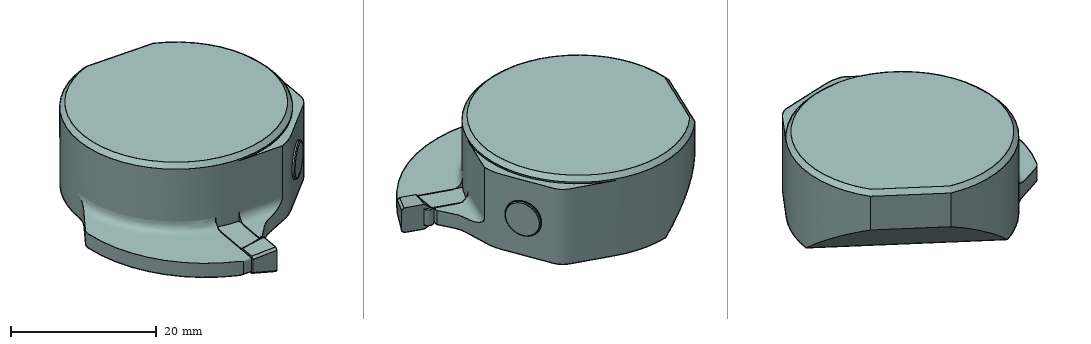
import cadquery as cq
import math

body_radius = 16.0
body_height = 13.2
top_chamfer = 0.7
flat_distance = 15.0
bevel_size = 7.0

shoulder_height = 12.25
shoulder_slant_sum = 23.87
shoulder_round = 3.0
slant_end_x = 15.2
slant_end_round = 7.0
port_diameter = 5.5
port_height = 0.4
port_chamfer = 0.15

flange_thickness = 2.31
root_fillet = 1.6
root_top = flange_thickness + root_fillet
valley = (18.05, 2.95)
valley_round = 5.0
nose = (20.75, 0.7)
nose_foot_x = 20.95
tip_x = 24.7
tip_round = 0.25
heel_radius = 5.0
heel_angle = math.radians(30)
heel_round = 1.9
sweep_center = (4.73, 1.77)
sweep_radius = 21.04
corner_reach = 0.05

insert_start_x = 15.5
insert_depth = 3.57
shank_bottom = -0.14
shank_top = 2.42
ridge_height = 0.42
ridge_end_x = 22.4
head_x = 22.3
rake_ramp_x = 21.1
rake_tip_x = 25.6
rake_bottom = -0.83
rake_top = 3.2
back_ramp_x = 22.05
ramp_foot_run = 0.2
ramp_foot_rise = 0.05
back_tip_x = 25.05
back_bottom = -0.2
back_top = 2.62
corner_cut = 0.35


def make_body():
    """Round body with a flat, a chamfered top and a bevel under the flat."""
    width = 2 * body_radius
    keep = cq.Workplane("XY").box(width * 2, width, body_height, centered=(False, True, False))
    body = (
        cq.Workplane("XY")
        .circle(body_radius)
        .extrude(body_height)
        .intersect(keep.translate((-flat_distance, 0, 0)))
        .faces(">Z")
        .edges()
        .chamfer(top_chamfer)
    )
    bevel = (
        cq.Workplane("XZ")
        .moveTo(-flat_distance, 0)
        .lineTo(-flat_distance + bevel_size, 0)
        .lineTo(-flat_distance, bevel_size)
        .close()
        .extrude(body_radius, both=True)
    )
    return body.cut(bevel)


def round_upright_edge(solid, corner, radius):
    """Fillet the vertical edge that stands on the given outline corner."""
    x, y = corner
    box = cq.selectors.BoxSelector(
        (x - corner_reach, y - corner_reach, -body_height),
        (x + corner_reach, y + corner_reach, body_height),
    )
    return solid.edges("|Z").edges(box).fillet(radius)


def sweep_point(angle):
    """Point on the large outer arc of the flange."""
    return (
        sweep_center[0] + sweep_radius * math.cos(angle),
        sweep_center[1] + sweep_radius * math.sin(angle),
    )


def heel_point(angle):
    """Point on the concave heel arc, where it has turned by the angle from the +X direction."""
    return (
        heel_radius * math.sin(angle),
        -body_radius - heel_radius * (1 - math.cos(angle)),
    )


def heel_line_meets_sweep():
    """Angle on the outer arc where the straight heel line, tangent to the heel arc, meets it."""
    x, y = heel_point(heel_angle)
    to_center_x = sweep_center[0] - x
    to_center_y = sweep_center[1] - y
    run_to_foot = to_center_x * math.cos(heel_angle) - to_center_y * math.sin(heel_angle)
    center_offset = to_center_x * math.sin(heel_angle) + to_center_y * math.cos(heel_angle)
    run = run_to_foot + math.sqrt(sweep_radius**2 - center_offset**2)
    return math.atan2(run * -math.sin(heel_angle) - to_center_y, run * math.cos(heel_angle) - to_center_x)


def make_outline():
    """Prism of the shoulder and flange outline, up to the shoulder top."""
    back_corner = (shoulder_slant_sum - body_radius, body_radius)
    slant_end = (slant_end_x, shoulder_slant_sum - slant_end_x)
    tip_angle = -math.acos((tip_x - sweep_center[0]) / sweep_radius)
    heel_end_angle = heel_line_meets_sweep()
    heel_end = sweep_point(heel_end_angle)
    outline = (
        cq.Workplane("XY")
        .moveTo(0, body_radius)
        .lineTo(*back_corner)
        .lineTo(*slant_end)
        .lineTo(*valley)
        .lineTo(*nose)
        .lineTo(nose_foot_x, 0)
        .lineTo(tip_x, 0)
        .lineTo(*sweep_point(tip_angle))
        .threePointArc(sweep_point((tip_angle + heel_end_angle) / 2), heel_end)
        .lineTo(*heel_point(heel_angle))
        .threePointArc(heel_point(heel_angle / 2), (0, -body_radius))
        .close()
        .extrude(shoulder_height)
    )
    outline = round_upright_edge(outline, back_corner, shoulder_round)
    outline = round_upright_edge(outline, slant_end, slant_end_round)
    outline = round_upright_edge(outline, valley, valley_round)
    return round_upright_edge(outline, heel_end, heel_round)


def root_section():
    """Half section from the axis out to the flange edge, with the root fillet."""
    outer = 2 * body_radius
    diagonal = root_fillet * (1 - math.sqrt(0.5))
    return (
        cq.Workplane("XZ")
        .lineTo(outer, 0)
        .lineTo(outer, flange_thickness)
        .lineTo(body_radius + root_fillet, flange_thickness)
        .threePointArc(
            (body_radius + diagonal, flange_thickness + diagonal),
            (body_radius, root_top),
        )
        .lineTo(body_radius, shoulder_height)
        .lineTo(0, shoulder_height)
        .close()
    )


def make_shoulder_and_flange():
    """Outline prism cut down to the flange: straight root on +Y, round root on -Y."""
    straight_root = root_section().extrude(-body_radius)
    round_root = root_section().revolve(90, (0, 0, 0), (0, -1, 0))
    outline = make_outline()
    shoulder = outline.intersect(straight_root)
    flange = outline.intersect(round_root)
    return shoulder.union(flange)


def make_port():
    """Low round pad on the middle of the slanted face."""
    middle = (shoulder_slant_sum / 2, shoulder_slant_sum / 2, shoulder_height / 2)
    face = cq.Plane(origin=middle, xDir=(0, 0, 1), normal=(1, 1, 0))
    pad = cq.Workplane(face).circle(port_diameter / 2).extrude(port_height)
    return pad.faces(cq.selectors.DirectionMinMaxSelector(cq.Vector(1, 1, 0))).chamfer(port_chamfer)


def round_tip(flange):
    """Round the upper and lower edges of the straight tip, behind the insert."""
    box = cq.selectors.BoxSelector(
        (tip_x - tip_round, -body_radius, -tip_round),
        (tip_x + tip_round, -insert_depth, body_height),
    )
    return flange.edges("|Y").edges(box).fillet(tip_round)


def insert_slot(height):
    """Block of the insert's width, from its hidden end out past the tip."""
    return (
        cq.Workplane("XY")
        .box(tip_x, insert_depth, height, centered=False)
        .translate((insert_start_x, -insert_depth, shank_bottom))
    )


def make_insert_seat():
    """Slot through the flange, plus room above it where the root fillet is cut away."""
    seat = insert_slot(shank_top - shank_bottom)
    clearance = insert_slot(root_top - shank_bottom)
    body_core = cq.Workplane("XY").circle(body_radius).extrude(body_height)
    return seat.union(clearance.cut(body_core))


def make_holder():
    """Clamp body with its shoulder, pad and flange, slotted for the insert."""
    holder = make_body().union(make_shoulder_and_flange()).union(make_port())
    return round_tip(holder.cut(make_insert_seat()))


def head_points(ramp_x, tip, bottom, top):
    """Head section in X and Z: a ramp up from the shank and clipped tip corners."""
    return [
        (ramp_x, shank_bottom),
        (ramp_x + ramp_foot_run, shank_bottom - ramp_foot_rise),
        (head_x, bottom),
        (tip - corner_cut, bottom),
        (tip, bottom + corner_cut),
        (tip, top - corner_cut),
        (tip - corner_cut, top),
        (head_x, top),
        (ramp_x + ramp_foot_run, shank_top + ramp_foot_rise),
        (ramp_x, shank_top),
    ]


def make_insert():
    """Flat shank with a flared head that narrows away from the rake face."""
    shank = (
        cq.Workplane("XY")
        .box(head_x - insert_start_x, insert_depth, shank_top - shank_bottom, centered=False)
        .translate((insert_start_x, -insert_depth, shank_bottom))
    )
    head = (
        cq.Workplane("XZ")
        .polyline(head_points(rake_ramp_x, rake_tip_x, rake_bottom, rake_top))
        .close()
        .workplane(offset=insert_depth)
        .polyline(head_points(back_ramp_x, back_tip_x, back_bottom, back_top))
        .close()
        .loft(ruled=True)
    )
    ridge = (
        cq.Workplane("XY", origin=(0, 0, shank_bottom))
        .moveTo(nose_foot_x, 0)
        .lineTo(ridge_end_x, 0)
        .threePointArc(((nose_foot_x + ridge_end_x) / 2, ridge_height), (nose_foot_x, 0))
        .close()
        .extrude(shank_top - shank_bottom)
    )
    return shank.union(head).union(ridge)


holder = make_holder()
insert = make_insert()

result = cq.Compound.makeCompound([holder.val(), insert.val()])